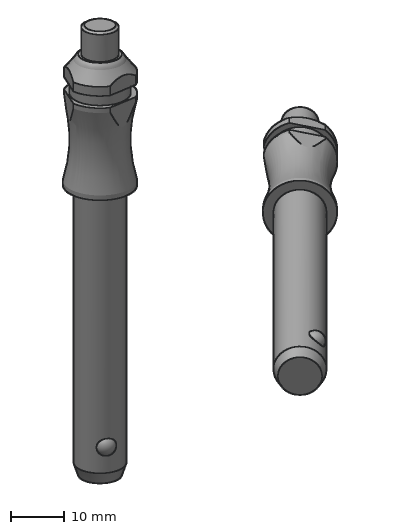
import cadquery as cq

total_height = 92.7
button_height = 6.0
head_height = 5.5
neck_height = 2.5
sleeve_height = 19.0
head_top = total_height - button_height
neck_top = head_top - head_height
sleeve_top = neck_top - neck_height
sleeve_bottom = sleeve_top - sleeve_height
waist_height = (sleeve_bottom + sleeve_top) / 2

shank_radius = 5.0
tip_radius = 4.15
tip_height = 2.5

handle_radius = 7.0
waist_radius = 5.77
rim_height = 1.0
neck_radius = 5.8

band_height = 1.9
cone_top_radius = 4.95
cone_top_drop = 1.05
head_top_radius = 4.1
shoulder_radius = 2.0

button_radius = 3.55
button_chamfer_width = 0.6
button_chamfer_height = 0.4

flat_count = 3
flat_distance = 6.1
first_flat_angle = -90.0

ball_radius = 2.0
ball_reach = 6.1
ball_height = 7.8


def cylinder(radius, bottom, top):
    return cq.Workplane("XY").workplane(offset=bottom).circle(radius).extrude(top - bottom)


def revolve_about_axis(profile):
    return profile.close().revolve(360, (0, 0, 0), (0, 1, 0))


def make_shank():
    profile = (
        cq.Workplane("XZ")
        .lineTo(tip_radius, 0)
        .lineTo(shank_radius, tip_height)
        .lineTo(shank_radius, sleeve_top)
        .lineTo(0, sleeve_top)
    )
    return revolve_about_axis(profile)


def make_sleeve():
    lower_rim_top = sleeve_bottom + rim_height
    upper_rim_bottom = sleeve_top - rim_height
    profile = (
        cq.Workplane("XZ")
        .moveTo(0, sleeve_bottom)
        .lineTo(handle_radius, sleeve_bottom)
        .lineTo(handle_radius, lower_rim_top)
        .threePointArc((waist_radius, waist_height), (handle_radius, upper_rim_bottom))
        .lineTo(handle_radius, sleeve_top)
        .lineTo(0, sleeve_top)
    )
    return revolve_about_axis(profile)


def make_head():
    profile = (
        cq.Workplane("XZ")
        .moveTo(0, neck_top)
        .lineTo(handle_radius, neck_top)
        .lineTo(handle_radius, neck_top + band_height)
        .lineTo(cone_top_radius, head_top - cone_top_drop)
        .radiusArc((head_top_radius, head_top), -shoulder_radius)
        .lineTo(0, head_top)
    )
    return revolve_about_axis(profile)


def make_button():
    chamfer_bottom = total_height - button_chamfer_height
    profile = (
        cq.Workplane("XZ")
        .moveTo(0, neck_top)
        .lineTo(button_radius, neck_top)
        .lineTo(button_radius, chamfer_bottom)
        .lineTo(button_radius - button_chamfer_width, total_height)
        .lineTo(0, total_height)
    )
    return revolve_about_axis(profile)


def cut_flats(body):
    """Trim the body with flats evenly spaced about the axis, from the waist upwards."""
    waste_depth = handle_radius
    waste_height = head_top - waist_height
    for index in range(flat_count):
        waste = (
            cq.Workplane("XY")
            .box(waste_depth, 2 * handle_radius, waste_height, centered=(False, True, False))
            .translate((flat_distance, 0, waist_height))
            .rotate((0, 0, 0), (0, 0, 1), first_flat_angle + index * 360 / flat_count)
        )
        body = body.cut(waste)
    return body


def make_ball(side):
    center_offset = side * (ball_reach - ball_radius)
    return cq.Workplane("XY").sphere(ball_radius).translate((center_offset, 0, ball_height))


result = (
    cut_flats(make_sleeve().union(make_head()))
    .union(make_shank())
    .union(cylinder(neck_radius, sleeve_top, neck_top))
    .union(make_button())
)
for side in (-1, 1):
    result = result.union(make_ball(side))